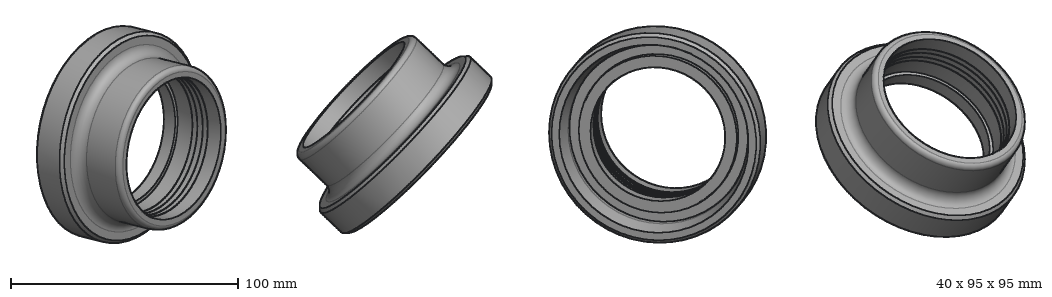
import cadquery as cq

total_length = 40.0
flange_diameter = 95.0
flange_thickness = 16.0
flange_chamfer = 1.5
neck_diameter = 74.0
neck_root_radius = 5.0
neck_end_radius = 2.4

mouth_diameter = 85.1
ring_outer_diameter = 80.8
seat_diameter = 71.0
seat_depth = 8.4
ring_groove_depth = 3.6

throat_diameter = 60.5
throat_end = 15.0
bore_diameter = 63.8

bore_groove_diameter = 64.2
bore_groove_width = 2.85
bore_groove_starts = (23.5, 29.45)

selection_margin = 0.5


def cylinder(diameter, start, length):
    """Solid cylinder on the X axis, running in +X from start."""
    return cq.Workplane("YZ").workplane(offset=start).circle(diameter / 2).extrude(length)


def make_body():
    """Flange and neck, joined by a concave fillet."""
    flange = cylinder(flange_diameter, 0, flange_thickness).edges().chamfer(flange_chamfer)
    neck = cylinder(neck_diameter, 0, total_length).faces(">X").edges().fillet(neck_end_radius)
    reach = neck_diameter / 2 + selection_margin
    root_edge = cq.selectors.BoxSelector(
        (flange_thickness - selection_margin, -reach, -reach),
        (flange_thickness + selection_margin, reach, reach),
        boundingbox=True,
    )
    return flange.union(neck).edges(root_edge).fillet(neck_root_radius)


def make_recess():
    """Tapered mouth plus the ring groove that leaves the seat standing."""
    mouth = (
        cq.Workplane("XY")
        .moveTo(0, 0)
        .lineTo(0, mouth_diameter / 2)
        .lineTo(seat_depth, ring_outer_diameter / 2)
        .lineTo(seat_depth, 0)
        .close()
        .revolve(360, (0, 0, 0), (1, 0, 0))
    )
    ring = cylinder(ring_outer_diameter, seat_depth, ring_groove_depth)
    seat = cylinder(seat_diameter, seat_depth, ring_groove_depth)
    return mouth.union(ring.cut(seat))


def make_bore():
    """Throat, larger bore and its shallow grooves."""
    bore = cylinder(throat_diameter, 0, total_length)
    bore = bore.union(cylinder(bore_diameter, throat_end, total_length - throat_end))
    for start in bore_groove_starts:
        bore = bore.union(cylinder(bore_groove_diameter, start, bore_groove_width))
    return bore


result = make_body().cut(make_recess()).cut(make_bore())